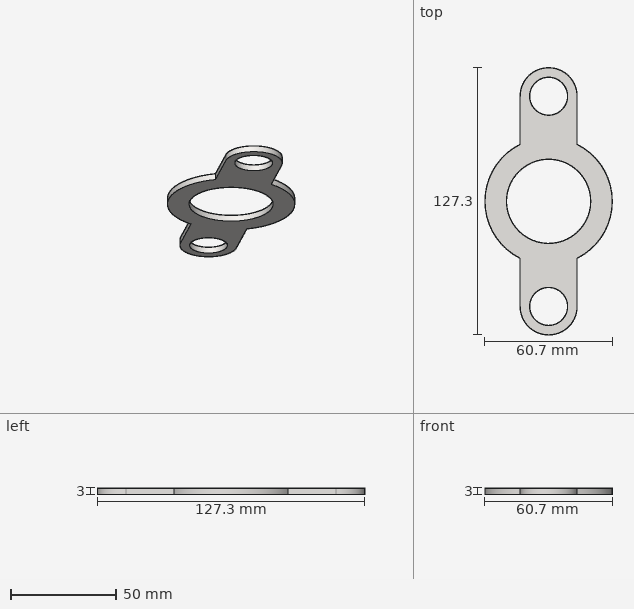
import cadquery as cq

overall_length = 127.3
ring_diameter = 60.7
ring_bore = 40.0
arm_width = 27.2
bolt_hole_diameter = 18.0
plate_thickness = 3.0

bolt_spacing = overall_length - arm_width

ring = cq.Workplane("XY").circle(ring_diameter / 2).extrude(plate_thickness)

arms = cq.Workplane("XY").slot2D(overall_length, arm_width, angle=90).extrude(plate_thickness)

plate = ring.union(arms)

bore = cq.Workplane("XY").circle(ring_bore / 2).extrude(plate_thickness)
bolt_holes = (
    cq.Workplane("XY")
    .pushPoints([(0, -bolt_spacing / 2), (0, bolt_spacing / 2)])
    .circle(bolt_hole_diameter / 2)
    .extrude(plate_thickness)
)

result = plate.cut(bore).cut(bolt_holes)